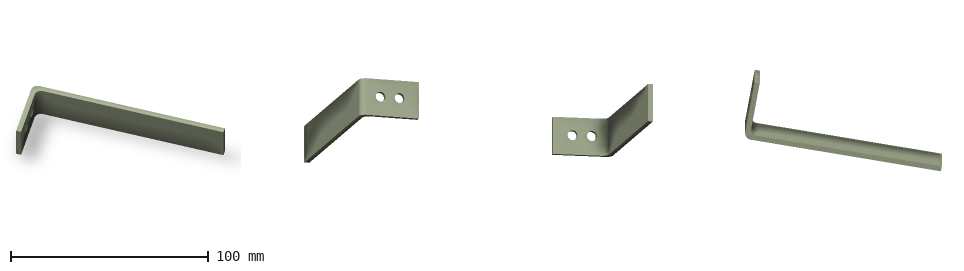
import cadquery as cq

length = 101.0
depth = 30.6
height = 19.1
thickness = 2.6

bend_radius = 3.3

hole_diameter = 5.0
hole_spacing = 10.0
first_hole_from_back = 10.5
hole_height = 10.0


def bent_strap():
    """L profile with its outer corner at the origin, extruded upward."""
    strap = (
        cq.Workplane("XY")
        .polyline([
            (0, 0),
            (length, 0),
            (length, -thickness),
            (thickness, -thickness),
            (thickness, -depth),
            (0, -depth),
        ])
        .close()
        .extrude(height)
    )
    outer_corner = cq.selectors.NearestToPointSelector((0, 0, height / 2))
    inner_corner = cq.selectors.NearestToPointSelector((thickness, -thickness, height / 2))
    strap = strap.edges("|Z").edges(outer_corner).fillet(bend_radius)
    return strap.edges("|Z").edges(inner_corner).fillet(bend_radius)


def mounting_holes():
    """Cylinders along X that pass through the short leg only."""
    hole_centers = [
        (-first_hole_from_back - index * hole_spacing, hole_height) for index in range(2)
    ]
    return (
        cq.Workplane("YZ")
        .pushPoints(hole_centers)
        .circle(hole_diameter / 2)
        .extrude(thickness)
    )


result = bent_strap().cut(mounting_holes())